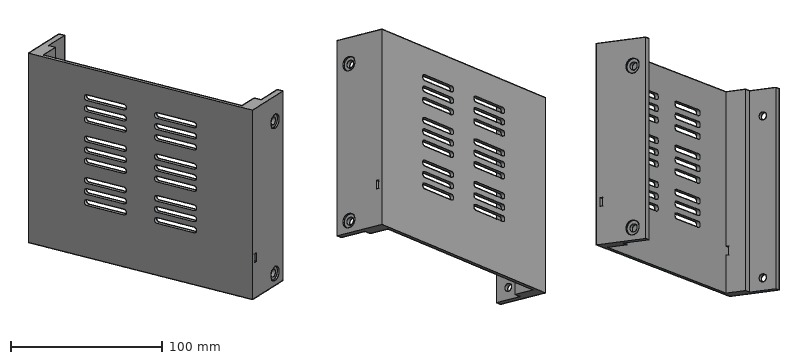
import cadquery as cq

width = 176.0
depth = 37.8
height = 137.0

panel_thickness = 2.8
root_thickness = 10.0
root_depth = 17.8
flange_thickness = 4.5

slot_length = 33.0
slot_height = 4.0
slots_per_group = 3
group_span = 16.0
slot_pitch = group_span / (slots_per_group - 1)
group_pitch = 30.0
group_count = 3
column_pitch = 55.0
top_slot_drop = 21.5

hole_diameter = 5.5
counterbore_diameter = 10.0
counterbore_depth = 1.4
hole_from_back = 10.0
lower_hole_z = 8.6
hole_spacing = 110.0

window_depth = 2.0
window_height = 6.0
window_bottom = 25.9


def make_body():
    """U-shaped section, symmetric about X = 0, extruded upwards from Z = 0."""
    outer = width / 2
    flange_inner = outer - flange_thickness
    root_inner = outer - root_thickness
    return (
        cq.Workplane("XY")
        .moveTo(-outer, 0)
        .lineTo(outer, 0)
        .lineTo(outer, depth)
        .lineTo(flange_inner, depth)
        .lineTo(flange_inner, root_depth)
        .lineTo(root_inner, root_depth)
        .lineTo(root_inner, panel_thickness)
        .lineTo(-root_inner, panel_thickness)
        .lineTo(-root_inner, root_depth)
        .lineTo(-flange_inner, root_depth)
        .lineTo(-flange_inner, depth)
        .lineTo(-outer, depth)
        .close()
        .extrude(height)
    )


def make_vent_slots():
    """Two columns of round-ended slots, grouped from the top downwards."""
    centers = []
    for x in (-column_pitch / 2, column_pitch / 2):
        for group in range(group_count):
            for slot in range(slots_per_group):
                drop = top_slot_drop + group * group_pitch + slot * slot_pitch
                centers.append((x, height - drop))
    return (
        cq.Workplane("XZ")
        .pushPoints(centers)
        .slot2D(slot_length, slot_height)
        .extrude(-panel_thickness)
    )


def make_screw_holes():
    """Through holes along X, counterbored from the outer face of each side."""
    hole_y = depth - hole_from_back
    centers = [(hole_y, lower_hole_z), (hole_y, lower_hole_z + hole_spacing)]
    left_face = cq.Workplane("YZ", origin=(-width / 2, 0, 0)).pushPoints(centers)
    right_face = cq.Workplane("YZ", origin=(width / 2, 0, 0)).pushPoints(centers)
    holes = left_face.circle(hole_diameter / 2).extrude(width)
    left_bores = left_face.circle(counterbore_diameter / 2).extrude(counterbore_depth)
    right_bores = right_face.circle(counterbore_diameter / 2).extrude(-counterbore_depth)
    return holes.union(left_bores).union(right_bores)


def make_side_windows():
    """Rectangular bar that opens a window through both sides along X."""
    return (
        cq.Workplane("XY")
        .box(width, window_depth, window_height, centered=(True, False, False))
        .translate((0, panel_thickness, window_bottom))
    )


result = make_body().cut(make_vent_slots()).cut(make_screw_holes()).cut(make_side_windows())